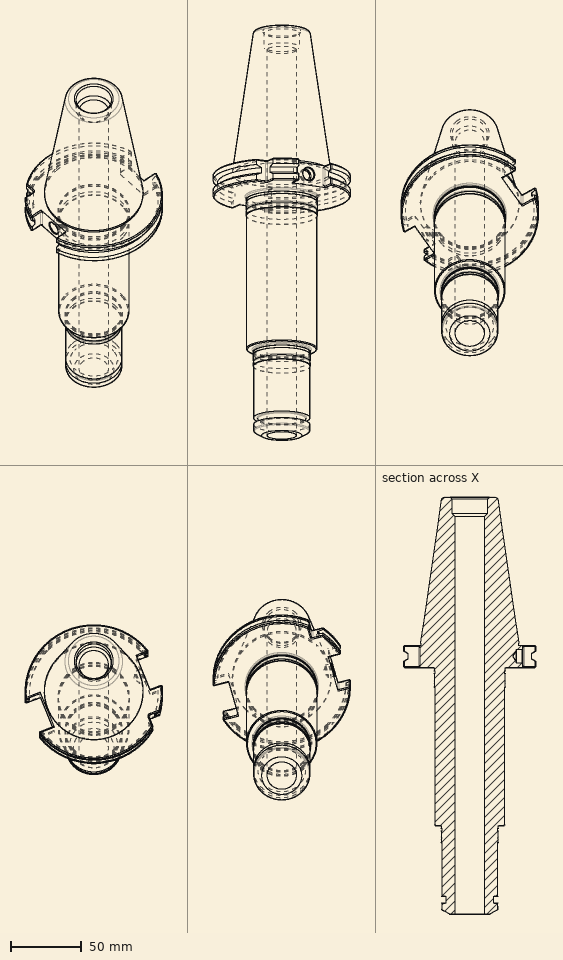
import cadquery as cq
import math

total_length = 295.6

gauge_diameter = 69.85
taper_length = 101.75
taper_ratio = 7 / 24
taper_tip_fillet = 2.5
undercut_depth = 0.3
undercut_top_height = 2.0
undercut_floor_height = 1.0

flange_diameter = 97.5
flange_thickness = 15.9
flange_below_gauge = 3.2
flange_edge_chamfer = 0.8
groove_below_gauge = 10.9
groove_floor_diameter = 91.25
groove_floor_width = 3.75
groove_flank_angle = 30

slot_width = 25.7
slot_floor_front = 37.7
slot_floor_back = 35.4
slot_corner_fillet = 1.0
notch_offset = 30.0
notch_corner_fillet = 1.0

pocket_diameter = 10.0
pocket_chamfer = 0.5
pocket_depth = 4.6
pocket_hole_diameter = 7.0
pocket_hole_depth = 5.0
drill_point_angle = 118

body_diameter = 50.0
body_collar_diameter = 50.5
body_collar_length = 14.0
body_groove_offset = 2.4
body_vee_offset = 9.3
body_bottom = 62.8
body_edge_chamfer = 0.7
shank_diameter = 40.0
shank_collar_diameter = 40.5
shank_collar_length = 12.1
shank_groove_offset = 1.8
shank_vee_offset = 7.9
collar_groove_width = 1.8
collar_root_fillet = 0.8

ring_groove_diameter = 34.0
ring_groove_bottom = 8.0
ring_groove_width = 4.8
nose_diameter = 28.5
nose_angle = 30
nose_edge_fillet = 1.0
ring_groove_fillet = 0.6

bore_diameter = 20.75
counterbore_diameter = 25.0
counterbore_depth = 11.5
counterbore_chamfer = 1.25
counterbore_cone_length = 2.0

position_tolerance = 0.01

gauge_z = total_length - taper_length
flange_top = gauge_z - flange_below_gauge
flange_bottom = flange_top - flange_thickness
groove_z = gauge_z - groove_below_gauge
tip_diameter = gauge_diameter - taper_length * taper_ratio


def revolve_profile(points):
    """Solid of revolution about Z from (radius, z) points."""
    return cq.Workplane("XZ").polyline(points).close().revolve(360, (0, 0, 0), (0, 1, 0))


def add_collar(part, top, length, diameter, core_diameter, groove_offset, vee_offset):
    """Add a thin collar whose plain groove and vee groove reach down to the core diameter."""
    collar_r = diameter / 2
    core_r = core_diameter / 2
    groove_top = top - groove_offset
    groove_bottom = groove_top - collar_groove_width
    vee_top = top - vee_offset
    vee_bottom = vee_top - collar_groove_width
    collar = revolve_profile([
        (0, top),
        (collar_r, top),
        (collar_r, groove_top),
        (core_r, groove_top),
        (core_r, groove_bottom),
        (collar_r, groove_bottom),
        (collar_r, vee_top),
        (core_r, (vee_top + vee_bottom) / 2),
        (collar_r, vee_bottom),
        (collar_r, top - length + collar_r - core_r),
        (core_r, top - length),
        (0, top - length),
    ])
    return part.union(collar)


def root_ring(diameter, top):
    """Concave fillet ring that joins a collar to the shoulder above it."""
    radius = diameter / 2
    outer = radius + collar_root_fillet
    bottom = top - collar_root_fillet
    mid_offset = collar_root_fillet * (1 - math.sqrt(0.5))
    return (
        cq.Workplane("XZ")
        .moveTo(0, top)
        .lineTo(outer, top)
        .threePointArc((radius + mid_offset, top - mid_offset), (radius, bottom))
        .lineTo(0, bottom)
        .close()
        .revolve(360, (0, 0, 0), (0, 1, 0))
    )


def make_shank():
    nose_height = (shank_diameter - nose_diameter) / 2 * math.tan(math.radians(nose_angle))
    groove_top = ring_groove_bottom + ring_groove_width
    shank_r = shank_diameter / 2
    groove_r = ring_groove_diameter / 2
    shank = revolve_profile([
        (0, 0),
        (nose_diameter / 2, 0),
        (shank_r, nose_height),
        (shank_r, ring_groove_bottom),
        (groove_r, ring_groove_bottom),
        (groove_r, groove_top),
        (shank_r, groove_top),
        (shank_r, body_bottom),
        (0, body_bottom),
    ])
    nose_edge = cq.selectors.BoxSelector(
        (-shank_diameter, -shank_diameter, nose_height / 2),
        (shank_diameter, shank_diameter, (nose_height + ring_groove_bottom) / 2),
    )
    groove_floor_edges = cq.selectors.RadiusNthSelector(1)
    shank = shank.edges("%CIRCLE").edges(groove_floor_edges).fillet(ring_groove_fillet)
    shank = shank.edges("%CIRCLE").edges(nose_edge).fillet(nose_edge_fillet)
    shank = add_collar(
        shank,
        body_bottom,
        shank_collar_length,
        shank_collar_diameter,
        shank_diameter,
        shank_groove_offset,
        shank_vee_offset,
    )
    return shank.union(root_ring(shank_collar_diameter, body_bottom))


def make_body():
    body_r = body_diameter / 2
    body = revolve_profile([
        (0, body_bottom),
        (body_r - body_edge_chamfer, body_bottom),
        (body_r, body_bottom + body_edge_chamfer),
        (body_r, flange_bottom),
        (0, flange_bottom),
    ])
    body = add_collar(
        body,
        flange_bottom,
        body_collar_length,
        body_collar_diameter,
        body_diameter,
        body_groove_offset,
        body_vee_offset,
    )
    return body.union(root_ring(body_collar_diameter, flange_bottom))


def make_taper():
    undercut_top = flange_top + undercut_top_height
    base_r = (gauge_diameter + (gauge_z - undercut_top) * taper_ratio) / 2
    undercut_r = base_r - undercut_depth
    taper = revolve_profile([
        (0, flange_top),
        (undercut_r, flange_top),
        (undercut_r, flange_top + undercut_floor_height),
        (base_r, undercut_top),
        (tip_diameter / 2, total_length),
        (0, total_length),
    ])
    return taper.faces(">Z").edges().fillet(taper_tip_fillet)


def make_flange():
    """Disc with two drive slots and a notch, its outer edges broken, then grooved at mid height."""
    disc = (
        cq.Workplane("XY", origin=(0, 0, flange_bottom))
        .circle(flange_diameter / 2)
        .extrude(flange_thickness)
    )
    front_slot = slot_cutter(slot_floor_front).rotate((0, 0, 0), (0, 0, 1), 180)
    flange = disc.cut(slot_cutter(slot_floor_back)).cut(front_slot).cut(notch_cutter())
    flange = flange.edges(OuterEdges()).chamfer(flange_edge_chamfer)
    flange = flange.edges(SlotCorners()).fillet(slot_corner_fillet)
    return flange.cut(vee_groove_cutter())


class OuterEdges(cq.Selector):
    """Flange edges to break: the rim, slot walls and notch walls, but no slot floors or inside corners."""

    def filter(self, edges):
        return [edge for edge in edges if self.is_upright_slot_edge(edge) or self.is_flat_outline(edge)]

    def is_upright_slot_edge(self, edge):
        middle = edge.positionAt(0.5)
        at_slot = abs(middle.x) < (slot_width + flange_edge_chamfer) / 2
        at_rim = math.hypot(middle.x, middle.y) > flange_diameter / 2 - flange_edge_chamfer
        return is_upright(edge) and at_slot and at_rim

    def is_flat_outline(self, edge):
        across_slot_floor = abs(edge.positionAt(0.5).x) < slot_width / 4 and edge.geomType() == "LINE"
        return not is_upright(edge) and not across_slot_floor


class SlotCorners(cq.Selector):
    """Upright inside corners where the slot walls meet the slot floors."""

    def filter(self, edges):
        return [edge for edge in edges if self.is_corner(edge)]

    def is_corner(self, edge):
        middle = edge.positionAt(0.5)
        on_wall = math.isclose(abs(middle.x), slot_width / 2, abs_tol=position_tolerance)
        on_floor = abs(middle.y) < slot_floor_front + position_tolerance
        return is_upright(edge) and on_wall and on_floor


def is_upright(edge):
    """True for a straight edge parallel to Z."""
    along_z = cq.Vector(0, 0, 1)
    return edge.geomType() == "LINE" and edge.tangentAt(0).cross(along_z).Length < position_tolerance


def vee_groove_cutter():
    """Ring that cuts the flat-floored vee groove around the rim."""
    rim_r = flange_diameter / 2
    floor_r = groove_floor_diameter / 2
    half_floor = groove_floor_width / 2
    half_mouth = half_floor + (rim_r - floor_r) * math.tan(math.radians(groove_flank_angle))
    return revolve_profile([
        (floor_r, groove_z - half_floor),
        (rim_r, groove_z - half_mouth),
        (rim_r, groove_z + half_mouth),
        (floor_r, groove_z + half_floor),
    ])


def slot_cutter(floor_distance):
    """Drive slot on the +Y side."""
    return (
        cq.Workplane("XY", origin=(0, floor_distance, flange_bottom))
        .rect(slot_width, flange_diameter, centered=(True, False))
        .extrude(flange_thickness)
    )


def notch_cutter():
    """Square orientation notch in the (-X, -Y) quadrant."""
    size = flange_diameter / 2
    return (
        cq.Workplane("XY", origin=(-notch_offset, -notch_offset, flange_bottom))
        .rect(-size, -size, centered=False)
        .extrude(flange_thickness)
        .edges("|Z and >X and >Y")
        .fillet(notch_corner_fillet)
    )


def slot_hole_cutter():
    """Chamfered blind hole with a smaller drilled hole below, entering the front slot floor along +Y."""
    mouth_r = pocket_diameter / 2
    pocket_r = mouth_r - pocket_chamfer
    hole_r = pocket_hole_diameter / 2
    point_length = hole_r / math.tan(math.radians(drill_point_angle / 2))
    hole = revolve_profile([
        (0, 0),
        (mouth_r, 0),
        (pocket_r, -pocket_chamfer),
        (pocket_r, -pocket_depth),
        (hole_r, -pocket_depth),
        (hole_r, -pocket_hole_depth),
        (0, -pocket_hole_depth - point_length),
    ])
    return hole.rotate((0, 0, 0), (1, 0, 0), 90).translate((0, -slot_floor_front, groove_z))


def bore_cutter():
    """Through bore with a counterbore at the top, its floor conical."""
    counterbore_r = counterbore_diameter / 2
    cone_top = total_length - counterbore_depth
    cone_bottom = cone_top - counterbore_cone_length
    return revolve_profile([
        (0, 0),
        (bore_diameter / 2, 0),
        (bore_diameter / 2, cone_bottom),
        (counterbore_r, cone_top),
        (counterbore_r, total_length - counterbore_chamfer),
        (counterbore_r + counterbore_chamfer, total_length),
        (0, total_length),
    ])


holder = make_shank().union(make_body()).union(make_flange()).union(make_taper())
result = holder.cut(slot_hole_cutter()).cut(bore_cutter())